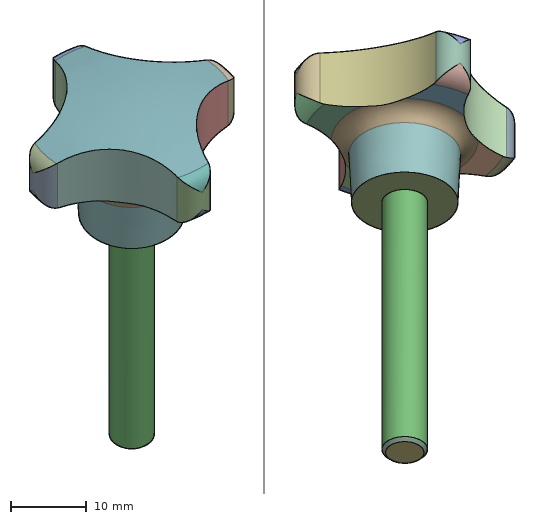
import cadquery as cq
import math

total_height = 60.0
head_base = 50.0
flare_base = 47.7
hub_base = 40.0

head_span = 32.0
head_radius = head_span / 2
tip_radius = 2.5
scallop_radius = 13.2
dome_radius = 51.6
arm_count = 4

hub_base_radius = 7.0
hub_top_radius = 7.4
flare_radius = head_base - flare_base
stud_radius = 3.0
stud_chamfer = 0.5

tip_center = head_radius - tip_radius


def point_on_circle(center, radius, angle):
    """Point in a plane at an angle in radians around a centre."""
    return (center[0] + radius * math.cos(angle), center[1] + radius * math.sin(angle))


def make_envelope():
    """Revolve the domed head with its rounded rim and the flare below it."""
    dome_center = (0, total_height - dome_radius)
    rim_height = dome_center[1] + math.sqrt((dome_radius - tip_radius) ** 2 - tip_center**2)
    upper_rim = (tip_center, rim_height)
    lower_rim = (tip_center, head_base + tip_radius)
    dome_edge_angle = math.acos(tip_center / (dome_radius - tip_radius))
    flare_center = (hub_top_radius + flare_radius, flare_base)

    profile = (
        cq.Workplane("XZ")
        .moveTo(0, flare_base)
        .lineTo(hub_top_radius, flare_base)
        .threePointArc(
            point_on_circle(flare_center, flare_radius, math.radians(135)),
            (flare_center[0], head_base),
        )
        .lineTo(tip_center, head_base)
        .threePointArc(
            point_on_circle(lower_rim, tip_radius, math.radians(-45)),
            (head_radius, lower_rim[1]),
        )
        .lineTo(head_radius, rim_height)
        .threePointArc(
            point_on_circle(upper_rim, tip_radius, dome_edge_angle / 2),
            point_on_circle(upper_rim, tip_radius, dome_edge_angle),
        )
        .threePointArc(
            point_on_circle(dome_center, dome_radius, (dome_edge_angle + math.pi / 2) / 2),
            (0, total_height),
        )
        .close()
    )
    return profile.revolve(360, (0, 0, 0), (0, 1, 0))


def make_star():
    """Extrude arms with round tips joined by tangent concave scallops."""
    center_spacing = scallop_radius + tip_radius
    half_pitch = math.pi / arm_count
    scallop_distance = tip_center * math.cos(half_pitch) + math.sqrt(
        center_spacing**2 - (tip_center * math.sin(half_pitch)) ** 2
    )
    scallop_x = scallop_distance * math.cos(half_pitch)
    scallop_y = scallop_distance * math.sin(half_pitch)
    tangent_angle = math.atan2(scallop_y, scallop_x - tip_center)

    def tip_point(arm_angle, offset_angle):
        center = point_on_circle((0, 0), tip_center, arm_angle)
        return point_on_circle(center, tip_radius, arm_angle + offset_angle)

    outline = cq.Workplane("XY", origin=(0, 0, flare_base)).moveTo(*tip_point(0, -tangent_angle))
    for arm in range(arm_count):
        arm_angle = 2 * half_pitch * arm
        scallop_middle = point_on_circle(
            (0, 0), scallop_distance - scallop_radius, arm_angle + half_pitch
        )
        outline = outline.threePointArc(tip_point(arm_angle, 0), tip_point(arm_angle, tangent_angle))
        outline = outline.threePointArc(
            scallop_middle, tip_point(arm_angle + 2 * half_pitch, -tangent_angle)
        )
    return outline.close().extrude(total_height - flare_base)


def make_hub():
    """Tapered hub, wider toward the head."""
    return (
        cq.Workplane("XY", origin=(0, 0, hub_base))
        .circle(hub_base_radius)
        .workplane(offset=flare_base - hub_base)
        .circle(hub_top_radius)
        .loft()
    )


def make_stud():
    """Plain stud with a chamfered free end."""
    stud = cq.Workplane("XY").circle(stud_radius).extrude(hub_base)
    return stud.faces("<Z").chamfer(stud_chamfer)


head = make_envelope().intersect(make_star())
result = head.union(make_hub()).union(make_stud())